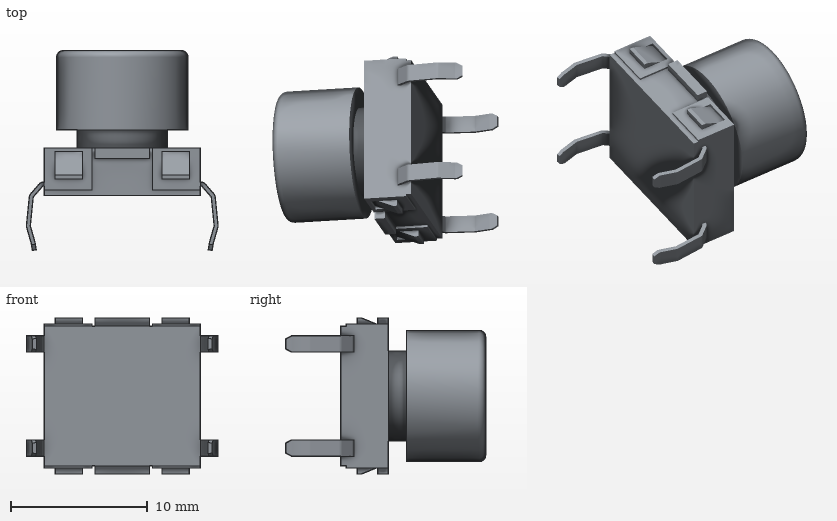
import cadquery as cq


body_width = 11.4
body_height = 10.2
body_depth = 3.5

stem_diameter = 6.6
stem_length = 1.3
cap_diameter = 9.6
cap_length = 5.8
cap_edge_radius = 0.5

overall_height = 11.4
pad_width = 3.5
pad_depth = 3.1
pad_top = 5.26
rail_width = 4.0
rail_depth = 0.8
latch_width = 2.0
latch_length = 2.0
latch_flat = 0.3
latch_edge_gap = 0.8
latch_back_gap = 0.28
latch_recess = 0.24

pin_thickness = 0.3
pin_width = 1.2
pin_z = 3.8
pin_bend_radius = 0.25
pin_length = 4.0
pin_taper_length = 0.43
pin_taper_inset = 0.23
pin_embed = 0.5
pin_exit_y = 0.85
pin_path_points = [
    (body_width / 2 - pin_embed, pin_exit_y),
    (5.87, pin_exit_y),
    (6.635, -0.03),
    (6.855, -2.22),
    (6.51, -3.42),
    (6.42, -3.975),
]

half_height = overall_height / 2
back_y = body_depth


def block(x_range, y_range, z_range):
    """Box spanning the given coordinate ranges."""
    sizes = [r[1] - r[0] for r in (x_range, y_range, z_range)]
    corner = (x_range[0], y_range[0], z_range[0])
    return cq.Workplane("XY").box(*sizes, centered=False).translate(corner)


def cylinder(diameter, start_y, length):
    """Cylinder on the Y axis, growing toward +Y."""
    plane = cq.Workplane("XZ", origin=(0, start_y, 0))
    return plane.circle(diameter / 2).extrude(-length)


def make_housing_quarter():
    return block((0, body_width / 2), (0, body_depth), (0, body_height / 2))


def make_button():
    stem = cylinder(stem_diameter, back_y, stem_length)
    cap = cylinder(cap_diameter, back_y + stem_length, cap_length)
    cap = cap.faces(">Y").edges().fillet(cap_edge_radius)
    return stem.union(cap)


def add_corner_latch(body):
    """Pad at the +X +Z corner, with a recessed window holding a ramped latch."""
    pad_x = (body_width / 2 - pad_width, body_width / 2)
    pad = block(pad_x, (back_y - pad_depth, back_y), (0, pad_top))

    latch_right = body_width / 2 - latch_edge_gap
    latch_x = (latch_right - latch_width, latch_right)
    foot_y = back_y - latch_back_gap
    end_y = foot_y - latch_length
    floor_z = pad_top - latch_recess
    window = block(latch_x, (end_y, foot_y), (floor_z, half_height))

    latch = (
        cq.Workplane("YZ", origin=(latch_x[0], 0, 0))
        .moveTo(foot_y, floor_z)
        .lineTo(end_y + latch_flat, half_height)
        .lineTo(end_y, half_height)
        .lineTo(end_y, floor_z)
        .close()
        .extrude(latch_width)
    )
    return body.union(pad).cut(window).union(latch)


def make_rail():
    """Rail along the back edge, running over both the +Z and -Z sides."""
    return block(
        (-rail_width / 2, rail_width / 2),
        (back_y - rail_depth, back_y),
        (-half_height, half_height),
    )


def make_pin():
    """Bent strip at the +X +Z corner, with a tapered free end."""
    path_wire = cq.Wire.makePolygon([cq.Vector(x, y, pin_z) for x, y in pin_path_points])
    path = cq.Workplane(obj=path_wire.fillet(pin_bend_radius))
    root_x, root_y = pin_path_points[0]
    strip = (
        cq.Workplane("YZ", origin=(root_x, root_y, pin_z))
        .rect(pin_thickness, pin_width)
        .sweep(path)
    )
    half_width = pin_width / 2
    tip_half_width = half_width - pin_taper_inset
    taper_y = -pin_length + pin_taper_length
    envelope = (
        cq.Workplane("YZ", origin=(0, 0, pin_z))
        .moveTo(back_y, half_width)
        .lineTo(taper_y, half_width)
        .lineTo(-pin_length, tip_half_width)
        .lineTo(-pin_length, -tip_half_width)
        .lineTo(taper_y, -half_width)
        .lineTo(back_y, -half_width)
        .close()
        .extrude(body_width)
    )
    return strip.intersect(envelope)


def mirror_to_all_corners(quarter):
    """Join a +X +Z quarter feature with its mirror images about X = 0 and Z = 0."""
    half = quarter.union(quarter.mirror("YZ"))
    return half.union(half.mirror("XY"))


result = mirror_to_all_corners(add_corner_latch(make_housing_quarter()))
result = result.union(make_rail()).union(make_button())
result = result.union(mirror_to_all_corners(make_pin()))